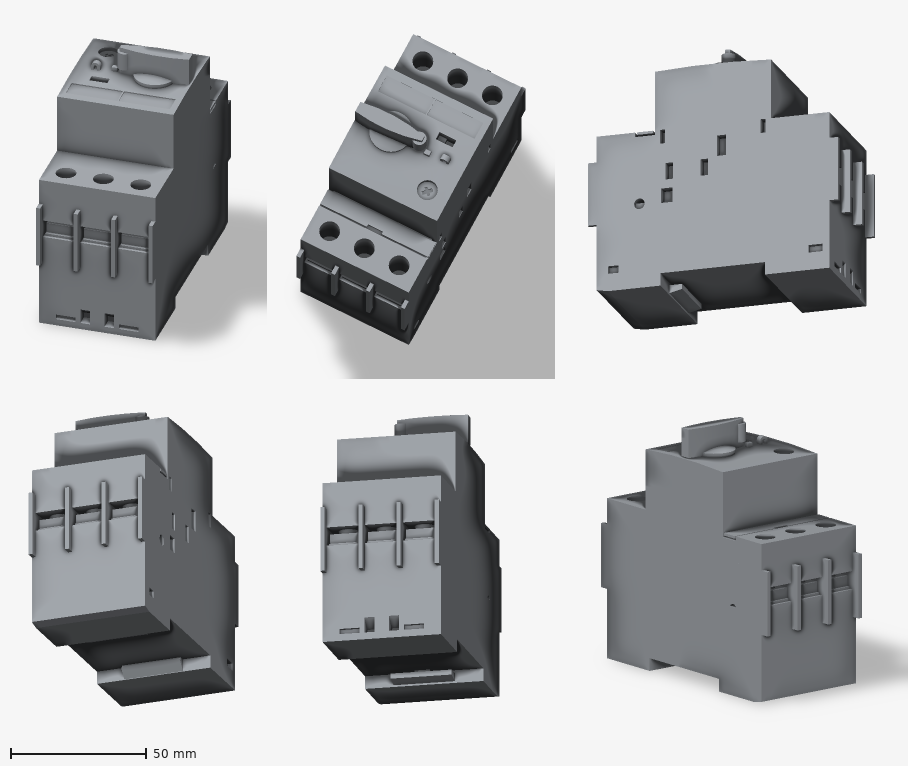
import cadquery as cq
import math

WIDTH = 45.0
RIB_LENGTH = 97.0
BODY_LENGTH = 90.2
TOTAL_HEIGHT = 96.0
DECK_Z = 60.9
TOWER_LENGTH = 45.0
TOWER_EDGE_Z = 83.9
CROWN_Z = 84.7
WALL_TOP_Z = 50.8
JOINT_Z = 43.8
MIDDLE_JOINT_Z = 48.0
RIB_BOTTOM_Z = 26.4
WALL = 1.6
POLE_PITCH = 14.5

half_width = WIDTH / 2
half_body = BODY_LENGTH / 2
half_tower = TOWER_LENGTH / 2
inner_width = WIDTH - 2 * WALL
pole_xs = [-POLE_PITCH, 0, POLE_PITCH]
pole_count = len(pole_xs)
barrier_spread = (WIDTH - WALL) / pole_count
barrier_xs = [(i - pole_count / 2) * barrier_spread for i in range(pole_count + 1)]

TAB_Y = (2.0, 10.0)
TAB_BOTTOM_Z = 47.3

TERMINAL_Y = 37.3
SCREW_HOLE_DIAMETER = 7.7
SCREW_DIAMETER = 7.3
CHAMBER_DEPTH = 12.6
CHAMBER_FLOOR_Z = 36.9
CLAMP_WIDTH = 11.6
CLAMP_TOP_Z = 41.7
CLAMP_INSET = 2.2
SILL_TOP_Z = 37.8
SILL_INSET = 1.2
chamber_inner_y = half_body - CHAMBER_DEPTH

CHANNEL_Y = (-20.2, 20.4)
CHANNEL_TOP_Z = 4.85
HOOK_WIDTH = 23.3
HOOK_TOP_Z = 3.8
FRONT_HOOK_REACH = 3.3
FRONT_HOOK_ROOT = 2.3
FRONT_HOOK_BOTTOM_Z = 0.2
REAR_HOOK_REACH = 4.9
REAR_HOOK_TIP_Z = 1.8
REAR_HOOK_ROOT_Z = 0.7
SPRING_WIDTH = 5.8
SPRING_LENGTH = 3.2

REAR_BEVEL_LENGTH = 4.3
REAR_BEVEL_HEIGHT = 0.9

SIDE_POCKET_DEPTH = 3.9
SIDE_POCKETS = [
    (15.4, 18.3, 41.3, 47.7),
    (1.8, 4.8, 41.3, 47.7),
    (-5.1, -1.6, 48.4, 56.4),
    (15.7, 20.1, 32.3, 37.9),
    (18.5, 20.5, 55.6, DECK_Z),
    (-20.5, -18.5, 55.6, DECK_Z),
]
LOW_POCKET_DEPTH = 1.9
LOW_POCKETS = [
    (36.6, 40.6, 6.8, 9.7),
    (-42.4, -37.0, 6.8, 9.7),
]
SIGHT_HOLE_DIAMETER = 4.1
SIGHT_HOLE_Y = 28.5
SIGHT_HOLE_Z = 32.9
SIGHT_STEP_Z = 33.8
SIGHT_STEP_DEPTH = 1.9

FRONT_SLOT_X = (8.4, 16.0)
FRONT_SLOT_Z = (2.6, 4.6)
FRONT_SLOT_DEPTH = 1.5
RAMP_POCKET_X = (2.8, 6.5)
RAMP_POCKET_TOP_Z = 8.3
RAMP_POCKET_END_Z = 4.8
RAMP_POCKET_END_Y = -40.7

STRIP_RECESS_BACK_Y = 30.2
STRIP_RECESS_FLOOR_Z = 59.2
STRIP_Y = (23.2, 29.5)
STRIP_BOTTOM_Z = 59.9
STRIP_NOTCH_WIDTH = 6.2
STRIP_NOTCH_DEPTH = 1.1
HINGE_WIDTH = 40.9
HINGE_TOP_Z = 60.4

DIAL_CENTER = (-13.9, 13.6)
DIAL_DIAMETER = 7.7
DIAL_DEPTH = 1.9
DIAL_CROSS = [(4.1, 1.4, 45), (3.5, 1.0, -45)]
DIAL_CROSS_DEPTH = 0.6
WINDOW_X = (-14.5, -7.5)
WINDOW_Y = (-8.5, -5.4)
WINDOW_STEP_X = -10.6
WINDOW_DEPTHS = (5.8, 3.9)
LABEL_X = 20.1
LABEL_Y = (-19.3, -12.2)
LABEL_GAP = 0.5
LABEL_FLOOR_Z = 84.0
LOOP_X = -14.5
LOOP_Y = (-0.9, 1.3)
LOOP_WIDTH = 3.5
LOOP_HOLE_WIDTH = 1.4
LOOP_TOP_Z = 87.7
STUD_X = (-8.5, -6.3)
STUD_Y = (0.2, 1.9)
STUD_TOP_Z = 86.3
TOP_ROOT_Z = 83.4

KNOB_X = 8.3
KNOB_NECK_DIAMETER = 15.5
KNOB_DIAMETER = 16.0
KNOB_BOTTOM_Z = 85.3
KNOB_RIM_Z = 86.3
KNOB_DOME_Z = 87.9
HANDLE_X = (-5.0, 22.1)
HANDLE_TIP_WIDTH = 1.9
HANDLE_WIDTH = 5.9
HANDLE_END_WIDTH = 4.2
GRIP_DIAMETER = 5.2
GRIP_X = -3.5
GRIP_Z = (87.4, 94.3)


def block(x, y, z):
    """Box from (low, high) pairs along each axis."""
    return (
        cq.Workplane("XY")
        .box(x[1] - x[0], y[1] - y[0], z[1] - z[0], centered=False)
        .translate((x[0], y[0], z[0]))
    )


def centered_block(width, y, z, x=0):
    return block((x - width / 2, x + width / 2), y, z)


def post(diameter, x, y, z):
    return cq.Workplane("XY").center(x, y).circle(diameter / 2).extrude(z[1] - z[0]).translate((0, 0, z[0]))


def lengthwise(points, width):
    """Prism across X, centred, from an outline of (Y, Z) points."""
    return cq.Workplane("YZ").polyline(points).close().extrude(width / 2, both=True)


def at_both_ends(front_shape):
    """The shape at the front terminal end together with its mirror at the rear."""
    return front_shape.union(front_shape.mirror("XZ"))


def side_openings(pockets, depth):
    """Rectangular pockets cut inward from the left side."""
    cutter = cq.Workplane("XY")
    for y_low, y_high, z_low, z_high in pockets:
        cutter = cutter.union(block((-half_width, -half_width + depth), (y_low, y_high), (z_low, z_high)))
    return cutter


def wall_tabs():
    """Stretches of both side walls that belong to the cover."""
    tab = block((half_width - WALL, half_width), TAB_Y, (TAB_BOTTOM_Z, WALL_TOP_Z))
    return tab.union(tab.mirror("YZ"))


def terminal_chambers():
    """Chambers between the barriers, open to the front and to the joint with the cover."""
    chamber_width = barrier_spread - WALL
    chambers = cq.Workplane("XY")
    for i in range(pole_count):
        middle = (barrier_xs[i] + barrier_xs[i + 1]) / 2
        y_span = (-half_body, -chamber_inner_y)
        chambers = chambers.union(centered_block(chamber_width, y_span, (CHAMBER_FLOOR_Z, JOINT_Z), middle))
    return chambers


def terminal_clamps():
    """Clamp block, sill and screw head in each chamber."""
    clamps = cq.Workplane("XY")
    for x in pole_xs:
        sill_span = (-half_body + SILL_INSET, -chamber_inner_y)
        clamp_span = (-half_body + CLAMP_INSET, -chamber_inner_y)
        clamps = (
            clamps.union(centered_block(CLAMP_WIDTH, sill_span, (CHAMBER_FLOOR_Z, SILL_TOP_Z), x))
            .union(centered_block(CLAMP_WIDTH, clamp_span, (SILL_TOP_Z, CLAMP_TOP_Z), x))
            .union(post(SCREW_DIAMETER, x, -TERMINAL_Y, (CLAMP_TOP_Z, JOINT_Z)))
        )
    return clamps


def front_openings():
    """Two flat slots and two pockets with a sloping roof, mirrored about the middle."""
    slot = block(FRONT_SLOT_X, (-half_body, -half_body + FRONT_SLOT_DEPTH), FRONT_SLOT_Z)
    ramp_outline = [
        (-half_body, FRONT_SLOT_Z[0]),
        (RAMP_POCKET_END_Y, FRONT_SLOT_Z[0]),
        (RAMP_POCKET_END_Y, RAMP_POCKET_END_Z),
        (-half_body, RAMP_POCKET_TOP_Z),
    ]
    ramp_middle = sum(RAMP_POCKET_X) / 2
    ramp = lengthwise(ramp_outline, RAMP_POCKET_X[1] - RAMP_POCKET_X[0]).translate((ramp_middle, 0, 0))
    right_side = slot.union(ramp)
    return right_side.union(right_side.mirror("YZ"))


def rail_hooks():
    channel_front, channel_back = CHANNEL_Y
    front_hook = [
        (channel_front, FRONT_HOOK_BOTTOM_Z),
        (channel_front + FRONT_HOOK_REACH, HOOK_TOP_Z),
        (channel_front + FRONT_HOOK_ROOT, HOOK_TOP_Z),
        (channel_front + FRONT_HOOK_ROOT, CHANNEL_TOP_Z),
        (channel_front, CHANNEL_TOP_Z),
    ]
    rear_hook = [
        (channel_back, REAR_HOOK_ROOT_Z),
        (channel_back - REAR_HOOK_REACH, REAR_HOOK_TIP_Z),
        (channel_back - REAR_HOOK_REACH, HOOK_TOP_Z),
        (channel_back, HOOK_TOP_Z),
    ]
    spring_span = (channel_back - SPRING_LENGTH, channel_back)
    spring = centered_block(SPRING_WIDTH, spring_span, (HOOK_TOP_Z, CHANNEL_TOP_Z))
    return lengthwise(front_hook, HOOK_WIDTH).union(lengthwise(rear_hook, HOOK_WIDTH)).union(spring)


def sight_hole():
    """Round hole through the side whose lower part is blocked behind the side wall."""
    hole = (
        cq.Workplane("YZ", origin=(-half_width, 0, 0))
        .center(SIGHT_HOLE_Y, SIGHT_HOLE_Z)
        .circle(SIGHT_HOLE_DIAMETER / 2)
        .extrude(WIDTH)
    )
    blocked = block(
        (-half_width + SIGHT_STEP_DEPTH, half_width),
        (SIGHT_HOLE_Y - SIGHT_HOLE_DIAMETER, SIGHT_HOLE_Y + SIGHT_HOLE_DIAMETER),
        (SIGHT_HOLE_Z - SIGHT_HOLE_DIAMETER, SIGHT_STEP_Z),
    )
    return hole.cut(blocked)


def make_base():
    channel_front, channel_back = CHANNEL_Y
    outline = [
        (-half_body, 0),
        (channel_front, 0),
        (channel_front, CHANNEL_TOP_Z),
        (channel_back, CHANNEL_TOP_Z),
        (channel_back, 0),
        (half_body - REAR_BEVEL_LENGTH, 0),
        (half_body, REAR_BEVEL_HEIGHT),
        (half_body, JOINT_Z),
        (-half_body, JOINT_Z),
    ]
    base = lengthwise(outline, WIDTH)
    base = base.union(
        centered_block(inner_width, (-chamber_inner_y, chamber_inner_y), (JOINT_Z, MIDDLE_JOINT_Z))
    )
    wall_height = (JOINT_Z, WALL_TOP_Z)
    for x in (barrier_xs[0], barrier_xs[-1]):
        base = base.union(centered_block(WALL, (-half_body, half_body), wall_height, x))
    base = base.cut(wall_tabs())
    for x in barrier_xs:
        barrier = centered_block(WALL, (-RIB_LENGTH / 2, -half_body), (RIB_BOTTOM_Z, WALL_TOP_Z), x)
        base = base.union(at_both_ends(barrier))
    return (
        base.cut(at_both_ends(terminal_chambers()))
        .union(at_both_ends(terminal_clamps()))
        .union(rail_hooks())
        .cut(front_openings())
        .cut(side_openings(SIDE_POCKETS, SIDE_POCKET_DEPTH))
        .cut(side_openings(LOW_POCKETS, LOW_POCKET_DEPTH))
        .cut(sight_hole())
    )


def cover_shell():
    """Stepped block with a crowned tower, filling the space between the base side walls."""
    deck = block((-half_width, half_width), (-half_body, half_body), (WALL_TOP_Z, DECK_Z))
    core = centered_block(inner_width, (-half_body, half_body), (MIDDLE_JOINT_Z, WALL_TOP_Z))
    terminal_roof = centered_block(inner_width, (-half_body, -chamber_inner_y), (JOINT_Z, MIDDLE_JOINT_Z))
    tower = (
        cq.Workplane("YZ")
        .moveTo(-half_tower, WALL_TOP_Z)
        .lineTo(-half_tower, TOWER_EDGE_Z)
        .threePointArc((0, CROWN_Z), (half_tower, TOWER_EDGE_Z))
        .lineTo(half_tower, WALL_TOP_Z)
        .close()
        .extrude(half_width, both=True)
    )
    return deck.union(core).union(at_both_ends(terminal_roof)).union(wall_tabs()).union(tower)


def screw_holes():
    holes = cq.Workplane("XY")
    for x in pole_xs:
        holes = holes.union(post(SCREW_HOLE_DIAMETER, x, -TERMINAL_Y, (JOINT_Z, DECK_Z)))
    return at_both_ends(holes)


def dial_recess():
    floor_z = CROWN_Z - DIAL_DEPTH
    recess = post(DIAL_DIAMETER, *DIAL_CENTER, (floor_z, CROWN_Z))
    for length, width, angle in DIAL_CROSS:
        slot = (
            cq.Workplane("XY")
            .rect(length, width)
            .extrude(-DIAL_CROSS_DEPTH)
            .rotate((0, 0, 0), (0, 0, 1), angle)
            .translate((*DIAL_CENTER, floor_z))
        )
        recess = recess.union(slot)
    return recess


def window():
    left_depth, right_depth = WINDOW_DEPTHS
    left = block((WINDOW_X[0], WINDOW_STEP_X), WINDOW_Y, (CROWN_Z - left_depth, CROWN_Z))
    right = block((WINDOW_STEP_X, WINDOW_X[1]), WINDOW_Y, (CROWN_Z - right_depth, CROWN_Z))
    return left.union(right)


def label_fields():
    field = block((LABEL_GAP / 2, LABEL_X), LABEL_Y, (LABEL_FLOOR_Z, CROWN_Z))
    return field.union(field.mirror("YZ"))


def test_loop():
    """Upright arch with a hole under it."""
    def arch(width, top_z):
        spring_z = top_z - width / 2
        return (
            cq.Workplane("XZ", origin=(LOOP_X, LOOP_Y[1], 0))
            .moveTo(-width / 2, TOP_ROOT_Z)
            .lineTo(-width / 2, spring_z)
            .threePointArc((0, top_z), (width / 2, spring_z))
            .lineTo(width / 2, TOP_ROOT_Z)
            .close()
            .extrude(LOOP_Y[1] - LOOP_Y[0])
        )

    thickness = (LOOP_WIDTH - LOOP_HOLE_WIDTH) / 2
    return arch(LOOP_WIDTH, LOOP_TOP_Z).cut(arch(LOOP_HOLE_WIDTH, LOOP_TOP_Z - thickness))


def make_cover():
    strip_recess = block(
        (-half_width, half_width), (half_tower, STRIP_RECESS_BACK_Y), (STRIP_RECESS_FLOOR_Z, DECK_Z)
    )
    knob_seat = post(KNOB_NECK_DIAMETER, KNOB_X, 0, (TOP_ROOT_Z, CROWN_Z))
    return (
        cover_shell()
        .cut(screw_holes())
        .cut(side_openings(SIDE_POCKETS, SIDE_POCKET_DEPTH))
        .cut(strip_recess)
        .cut(dial_recess())
        .cut(window())
        .cut(label_fields())
        .cut(knob_seat)
        .union(test_loop())
        .union(block(STUD_X, STUD_Y, (TOP_ROOT_Z, STUD_TOP_Z)))
    )


def make_strip():
    """Plate with a finger notch at the rear and a thin hinge lip against the tower."""
    plate = block((-half_width, half_width), STRIP_Y, (STRIP_BOTTOM_Z, DECK_Z))
    notch_span = (STRIP_Y[1] - STRIP_NOTCH_DEPTH, STRIP_Y[1])
    notch = centered_block(STRIP_NOTCH_WIDTH, notch_span, (STRIP_BOTTOM_Z, DECK_Z))
    hinge = centered_block(HINGE_WIDTH, (half_tower, STRIP_Y[0]), (STRIP_BOTTOM_Z, HINGE_TOP_Z))
    return plate.cut(notch).union(hinge)


def knob_disc():
    radius = KNOB_DIAMETER / 2
    rise = KNOB_DOME_Z - KNOB_RIM_Z
    sphere_radius = (radius ** 2 + rise ** 2) / (2 * rise)
    half_chord = radius / 2
    drop = sphere_radius - math.sqrt(sphere_radius ** 2 - half_chord ** 2)
    neck_radius = KNOB_NECK_DIAMETER / 2
    return (
        cq.Workplane("XZ")
        .moveTo(0, TOP_ROOT_Z)
        .lineTo(neck_radius, TOP_ROOT_Z)
        .lineTo(neck_radius, KNOB_BOTTOM_Z)
        .lineTo(radius, KNOB_BOTTOM_Z)
        .lineTo(radius, KNOB_RIM_Z)
        .threePointArc((half_chord, KNOB_DOME_Z - drop), (0, KNOB_DOME_Z))
        .close()
        .revolve(360, (0, 0, 0), (0, 1, 0))
        .translate((KNOB_X, 0, 0))
    )


def knob_handle():
    tip_x, end_x = HANDLE_X
    return (
        cq.Workplane("XY", origin=(0, 0, KNOB_BOTTOM_Z))
        .moveTo(tip_x, -HANDLE_TIP_WIDTH / 2)
        .threePointArc((KNOB_X, -HANDLE_WIDTH / 2), (end_x, -HANDLE_END_WIDTH / 2))
        .lineTo(end_x, HANDLE_END_WIDTH / 2)
        .threePointArc((KNOB_X, HANDLE_WIDTH / 2), (tip_x, HANDLE_TIP_WIDTH / 2))
        .close()
        .extrude(TOTAL_HEIGHT - KNOB_BOTTOM_Z)
    )


def knob_grip():
    """Round sleeve around the handle tip."""
    return post(GRIP_DIAMETER, GRIP_X, 0, GRIP_Z)


def make_knob():
    return knob_disc().union(knob_handle()).union(knob_grip())


base = make_base()
cover = make_cover()
strip = make_strip()
knob = make_knob()

bodies = [base, cover, strip, knob]
result = cq.Compound.makeCompound([body.solids().val() for body in bodies])